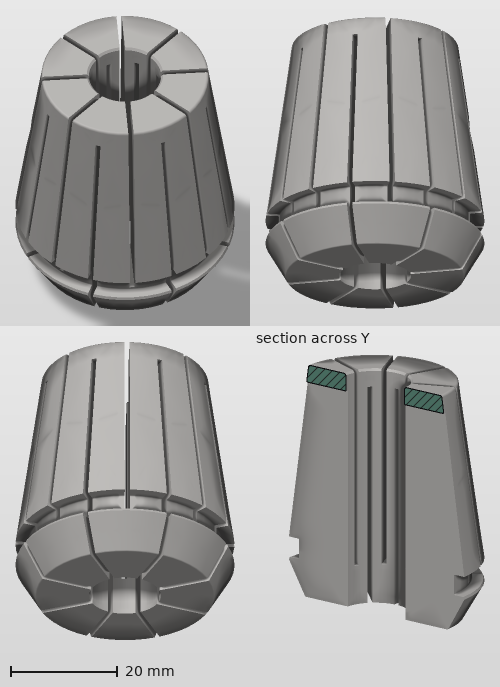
import cadquery as cq
import math

TOTAL_HEIGHT = 46.0
MAX_DIAMETER = 41.0
BORE_DIAMETER = 13.5

BODY_HALF_ANGLE = 8.0
NOSE_HALF_ANGLE = 30.0
BODY_BOTTOM_Z = 11.1

GROOVE_DIAMETER = 36.25
GROOVE_BOTTOM_Z = 7.1
GROOVE_ROOT_FILLET = 0.2
NOSE_RIM_CHAMFER_WIDTH = 0.2
NOSE_RIM_CHAMFER_HEIGHT = 0.5

TOP_EDGE_FILLET = 0.5
BORE_EDGE_CHAMFER = 0.4
NOSE_BOTTOM_FILLET = 0.3

SLITS_PER_SET = 8
SLIT_WIDTH = 1.0
LOWER_SLIT_TOP_Z = 42.5
UPPER_SLIT_BOTTOM_Z = 7.6

max_radius = MAX_DIAMETER / 2
bore_radius = BORE_DIAMETER / 2
groove_radius = GROOVE_DIAMETER / 2
nose_rim_z = GROOVE_BOTTOM_Z - NOSE_RIM_CHAMFER_HEIGHT
nose_bottom_radius = max_radius - nose_rim_z * math.tan(math.radians(NOSE_HALF_ANGLE))
body_height = TOTAL_HEIGHT - BODY_BOTTOM_Z
body_top_radius = max_radius - body_height * math.tan(math.radians(BODY_HALF_ANGLE))
slit_pitch = 360 / SLITS_PER_SET


def make_body():
    """Revolve the half section, bore included, about Z."""
    half_section = [
        (bore_radius, 0),
        (nose_bottom_radius, 0),
        (max_radius, nose_rim_z),
        (max_radius - NOSE_RIM_CHAMFER_WIDTH, GROOVE_BOTTOM_Z),
        (groove_radius, GROOVE_BOTTOM_Z),
        (groove_radius, BODY_BOTTOM_Z),
        (max_radius, BODY_BOTTOM_Z),
        (body_top_radius, TOTAL_HEIGHT),
        (bore_radius, TOTAL_HEIGHT),
    ]
    return cq.Workplane("XZ").polyline(half_section).close().revolve(360, (0, 0), (0, 1))


def round_groove_roots(body):
    """Fillet both inner corners of the groove."""
    root_reach = groove_radius + GROOVE_ROOT_FILLET
    for root_z in (GROOVE_BOTTOM_Z, BODY_BOTTOM_Z):
        below = (-root_reach, -root_reach, root_z - GROOVE_ROOT_FILLET)
        above = (root_reach, root_reach, root_z + GROOVE_ROOT_FILLET)
        root_edge = body.edges(cq.selectors.BoxSelector(below, above, boundingbox=True))
        body = root_edge.fillet(GROOVE_ROOT_FILLET)
    return body


def round_nose_bottom(body):
    """Round the outer edge of the bottom face."""
    return body.faces("<Z").edges(cq.selectors.RadiusNthSelector(-1)).fillet(NOSE_BOTTOM_FILLET)


def break_top_edges(body):
    """Round the outer top edge and chamfer the mouth of the bore."""
    circle_by_size = cq.selectors.RadiusNthSelector
    body = body.faces(">Z").edges(circle_by_size(-1)).fillet(TOP_EDGE_FILLET)
    return body.faces(">Z").edges(circle_by_size(0)).chamfer(BORE_EDGE_CHAMFER)


def cut_slits(body, bottom_z, top_z, first_angle):
    """Cut one set of radial slits that run from the bore out through the wall."""
    for index in range(SLITS_PER_SET):
        slit = (
            cq.Workplane("XY", origin=(0, 0, bottom_z))
            .rect(MAX_DIAMETER, SLIT_WIDTH)
            .extrude(top_z - bottom_z)
            .translate((max_radius, 0, 0))
            .rotate((0, 0, 0), (0, 0, 1), first_angle + index * slit_pitch)
        )
        body = body.cut(slit)
    return body


collet = round_groove_roots(make_body())
collet = round_nose_bottom(collet)
collet = break_top_edges(collet)
collet = cut_slits(collet, 0, LOWER_SLIT_TOP_Z, 0)
collet = cut_slits(collet, UPPER_SLIT_BOTTOM_Z, TOTAL_HEIGHT, slit_pitch / 2)

result = collet